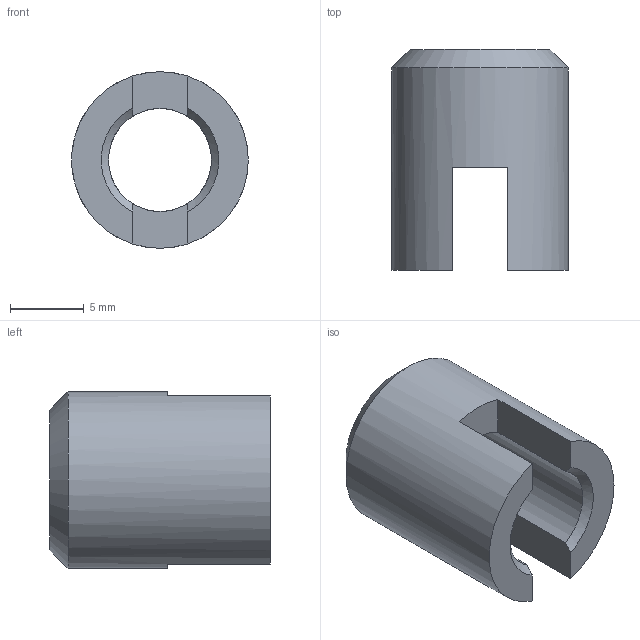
import cadquery as cq

outer_diameter = 12.0
length = 15.0
bore_diameter = 7.0
bore_chamfer = 0.5
rear_chamfer = 1.25
slot_width = 3.7
slot_depth = 7.0

outer_radius = outer_diameter / 2
bore_radius = bore_diameter / 2


def make_sleeve():
    """Revolved sleeve: slotted end at Y = 0, chamfered rear end at Y = length."""
    profile = (
        cq.Workplane("XY")
        .moveTo(bore_radius + bore_chamfer, 0)
        .lineTo(outer_radius, 0)
        .lineTo(outer_radius, length - rear_chamfer)
        .lineTo(outer_radius - rear_chamfer, length)
        .lineTo(bore_radius, length)
        .lineTo(bore_radius, bore_chamfer)
        .close()
    )
    return profile.revolve(360, (0, 0, 0), (0, 1, 0))


def make_slot():
    """Slot across both walls of the sleeve, open at the front end."""
    return cq.Workplane("XY").box(
        slot_width, slot_depth, outer_diameter, centered=(True, False, True)
    )


result = make_sleeve().cut(make_slot())